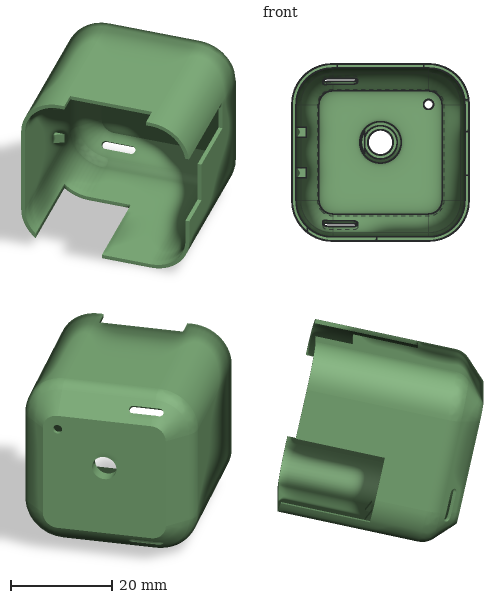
import cadquery as cq
import math

WIDTH = 34.95
LENGTH = 35.0
WALL = 0.8
CORNER_RADIUS = 8.0
BEVEL = 5.0
BEVEL_BLEND = 3.9
HALF = WIDTH / 2
FLOOR = LENGTH - WALL

BOSS_Z = 2.0
BOSS_BASE_RADIUS = 4.1
BOSS_TIP_RADIUS = 3.3
BOSS_HEIGHT = 1.75
BOSS_HOLE_DIAMETER = 4.95
BOSS_STEP_X = -3.08
BOSS_STEP_HEIGHT = 0.7

PIN_HOLE_DIAMETER = 1.9
PIN_HOLE_OFFSET = 9.5

SLOT_LENGTH = 6.93
SLOT_WIDTH = 1.55
SLOT_X = -7.98
SLOT_DEPTH_FROM_CAP = 2.15

TAB_SIZE = 2.0
TAB_RAMP = TAB_SIZE / 2
TAB_Z = 4.02
TAB_START = 17.5

TOP_CUT_WIDTH = 17.0
TOP_CUT_DEPTH = 3.68
BOTTOM_CUT_LEFT = -14.5
BOTTOM_CUT_RIGHT = -0.7
BOTTOM_CUT_DEPTH = 18.0
SIDE_CUT_TOP = 10.43
SIDE_CUT_STEP = 4.1
SIDE_CUT_BOTTOM = -4.5
SIDE_CUT_DEEP = 20.72
SIDE_CUT_SHALLOW = 7.6


def block(x0, x1, y0, y1, z0, z1):
    """Box between two opposite corners."""
    return cq.Workplane("XY").box(x1 - x0, y1 - y0, z1 - z0, centered=False).translate((x0, y0, z0))


def along_y(x, y, z):
    """Workplane at the given point whose normal is +Y."""
    return cq.Workplane(cq.Plane((x, y, z), xDir=(1, 0, 0), normal=(0, 1, 0)))


def bevelled_body(inset):
    """Housing envelope with every face except the open end moved inwards by inset."""
    half = HALF - inset
    back = LENGTH - inset
    bevel = BEVEL - (2 - math.sqrt(2)) * inset
    body = (
        block(-half, half, 0, back, -half, half)
        .edges("|Y")
        .fillet(CORNER_RADIUS - inset)
        .faces(">Y")
        .chamfer(bevel)
    )
    bevel_start = back - bevel
    margin = 0.05
    outer_bevel_edges = cq.selectors.BoxSelector(
        (-WIDTH, bevel_start - margin, -WIDTH),
        (WIDTH, bevel_start + margin, WIDTH),
    )
    return body.edges(outer_bevel_edges).fillet(BEVEL_BLEND - inset)


def boss():
    """Cone on the cap floor, lowered to a step beyond BOSS_STEP_X."""
    cone = (
        along_y(0, FLOOR - BOSS_HEIGHT, BOSS_Z)
        .circle(BOSS_TIP_RADIUS)
        .workplane(offset=BOSS_HEIGHT)
        .circle(BOSS_BASE_RADIUS)
        .loft()
    )
    return cone.cut(block(-HALF, BOSS_STEP_X, 0, FLOOR - BOSS_STEP_HEIGHT, -HALF, HALF))


def cap_hole(x, z, diameter):
    """Cutter along Y for a round hole through the end cap."""
    return along_y(x, 0, z).circle(diameter / 2).extrude(LENGTH)


def bevel_slot(side):
    """Cutter normal to the upper (side = 1) or lower (side = -1) bevel."""
    slot_z = side * (HALF - BEVEL + SLOT_DEPTH_FROM_CAP)
    centre = (SLOT_X, LENGTH - SLOT_DEPTH_FROM_CAP, slot_z)
    plane = cq.Plane(centre, xDir=(1, 0, 0), normal=(0, 1, side))
    return cq.Workplane(plane).slot2D(SLOT_LENGTH, SLOT_WIDTH).extrude(2 * WALL, both=True)


def wedge_tab(z):
    """Tab on the -X wall whose ramp rises away from the open end, rooted in the wall."""
    inner_wall = -HALF + WALL
    root = inner_wall - WALL / 2
    tab_end = TAB_START + TAB_RAMP
    outline = [
        (root, TAB_START),
        (inner_wall, TAB_START),
        (inner_wall + TAB_SIZE, tab_end),
        (root, tab_end),
    ]
    return cq.Workplane("XY", origin=(0, 0, z - TAB_SIZE / 2)).polyline(outline).close().extrude(TAB_SIZE)


def rim_cuts():
    """Cutters for the top wall, the lower -X corner and the two-step opening in the +X wall."""
    return [
        block(-TOP_CUT_WIDTH / 2, TOP_CUT_WIDTH / 2, 0, TOP_CUT_DEPTH, 0, HALF),
        block(BOTTOM_CUT_LEFT, BOTTOM_CUT_RIGHT, 0, BOTTOM_CUT_DEPTH, -HALF, 0),
        block(0, HALF, 0, SIDE_CUT_DEEP, SIDE_CUT_STEP, SIDE_CUT_TOP),
        block(0, HALF, 0, SIDE_CUT_SHALLOW, SIDE_CUT_BOTTOM, SIDE_CUT_STEP),
    ]


result = bevelled_body(0).cut(bevelled_body(WALL))

result = result.union(boss())
for tab_z in (TAB_Z, -TAB_Z):
    result = result.union(wedge_tab(tab_z))

result = result.cut(cap_hole(0, BOSS_Z, BOSS_HOLE_DIAMETER))
result = result.cut(cap_hole(PIN_HOLE_OFFSET, PIN_HOLE_OFFSET, PIN_HOLE_DIAMETER))
for bevel_side in (1, -1):
    result = result.cut(bevel_slot(bevel_side))
for cutter in rim_cuts():
    result = result.cut(cutter)